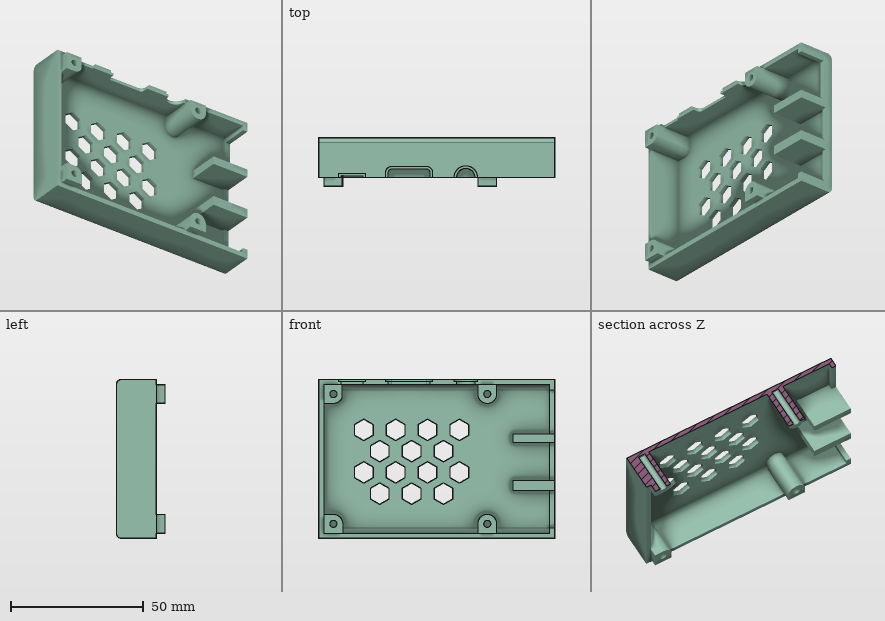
import cadquery as cq

length = 89.0
height = 60.0
rim_depth = 15.1
wall = 2.0
outer_radius = wall
inner_radius = wall

window_lip = 2.0
lower_window_sill = 3.0
upper_window_sill = 4.0

post_radius = 3.6
post_depth = 18.4
screw_diameter = 2.7
post_inset = wall + post_radius
post_pitch = 58.0
trimmed_post_edge = 8.7

vent_radius = 4.0
vent_pitch_x = 12.0
vent_pitch_z = 8.0
vent_first_x = 17.0
vent_top_z = 40.9
vent_row_counts = (4, 3, 4, 3)

rib_length = 15.8
lower_rib_z = 18.1
lower_rib_thickness = 3.8
upper_rib_z = 36.1
upper_rib_thickness = 3.3

recess_depth = 0.9
recess_margin = 1.0
slot_center_x = 12.55
slot_width = 8.4
slot_reach = 0.6
wide_center_x = 34.1
wide_width = 15.8
wide_reach = 3.2
wide_corner = 1.3
jack_center_x = 55.45
jack_radius = 3.5


def block(x_min, x_max, z_min, z_max, depth_min, depth_max):
    """Box given by its X and Z limits and its depths below the back face."""
    size = (x_max - x_min, depth_max - depth_min, z_max - z_min)
    return cq.Workplane("XY").box(*size, centered=False).translate((x_min, -depth_max, z_min))


def tray():
    shell = block(0, length, 0, height, 0, rim_depth).edges("|X and >Y").fillet(outer_radius)
    cavity = block(wall, length - wall, wall, height - wall, wall, rim_depth)
    return shell.cut(cavity.edges("|X and >Y").fillet(inner_radius))


def end_window(z_min, z_max, sill):
    return block(length - wall, length, z_min, z_max, sill, rim_depth)


def rib(z_min, thickness):
    return block(length - rib_length, length, z_min, z_min + thickness, wall, rim_depth)


def post(center_x, in_corner):
    """Lower-wall post, rounded inward and square towards the walls it touches."""
    center_z = post_inset
    body = (
        cq.Workplane("XZ", origin=(center_x, -wall, center_z))
        .circle(post_radius)
        .extrude(post_depth - wall)
    )
    left, right = center_x - post_radius, center_x + post_radius
    body = body.union(block(left, right, wall, center_z, wall, post_depth))
    if in_corner:
        body = body.union(block(left, center_x, wall, center_z + post_radius, wall, post_depth))
    screw_hole = (
        cq.Workplane("XZ", origin=(center_x, -wall, center_z))
        .circle(screw_diameter / 2)
        .extrude(post_depth - wall)
    )
    return body.cut(screw_hole)


def on_upper_wall(lower_post):
    return lower_post.mirror("XY", (0, 0, height / 2))


def vents():
    """List of hexagonal cutters, point up, with every other row shifted half a pitch."""
    hexagon = cq.Workplane("XZ").polygon(6, 2 * vent_radius).extrude(wall)
    pointed = hexagon.rotate((0, 0, 0), (0, 1, 0), 90)
    cutters = []
    for row, count in enumerate(vent_row_counts):
        row_start = vent_first_x + (row % 2) * vent_pitch_x / 2
        z = vent_top_z - row * vent_pitch_z
        for column in range(count):
            cutters.append(pointed.translate((row_start + column * vent_pitch_x, 0, z)))
    return cutters


def rim_notch(center_x, width, reach, corner, cut_depth):
    """Notch from the rim, cut down from the top face, with its two far corners rounded."""
    left = center_x - width / 2
    notch = block(left, left + width, height - cut_depth, height, rim_depth - reach, rim_depth)
    if corner > 0:
        notch = notch.edges("|Z and >Y").fillet(corner)
    return notch


def port(center_x, width, reach, corner):
    recess_corner = corner + recess_margin if corner > 0 else 0
    opening = rim_notch(center_x, width, reach, corner, wall)
    recess = rim_notch(
        center_x, width + 2 * recess_margin, reach + recess_margin, recess_corner, recess_depth
    )
    return opening.union(recess)


def round_port():
    """Round port centred on the rim, so that it leaves a half circle in the wall."""
    top = cq.Workplane("XY", origin=(jack_center_x, -rim_depth, height))
    opening = top.circle(jack_radius).extrude(-wall)
    recess = top.circle(jack_radius + recess_margin).extrude(-recess_depth)
    return opening.union(recess)


frame_edge = wall + window_lip
lower_rib_top = lower_rib_z + lower_rib_thickness
upper_rib_top = upper_rib_z + upper_rib_thickness

result = tray()
result = result.cut(end_window(frame_edge, lower_rib_z, lower_window_sill))
result = result.cut(end_window(lower_rib_top, upper_rib_z, lower_window_sill))
result = result.cut(end_window(upper_rib_top, height - frame_edge, upper_window_sill))
result = result.union(rib(lower_rib_z, lower_rib_thickness))
result = result.union(rib(upper_rib_z, upper_rib_thickness))

for vent in vents():
    result = result.cut(vent)

result = result.cut(port(slot_center_x, slot_width, slot_reach, 0))
result = result.cut(port(wide_center_x, wide_width, wide_reach, wide_corner))
result = result.cut(round_port())

corner_post = post(post_inset, True)
side_post = post(post_inset + post_pitch, False)
post_trim = block(trimmed_post_edge, length, 0, height, 0, post_depth)
result = result.union(corner_post).union(on_upper_wall(corner_post).cut(post_trim))
result = result.union(side_post).union(on_upper_wall(side_post))